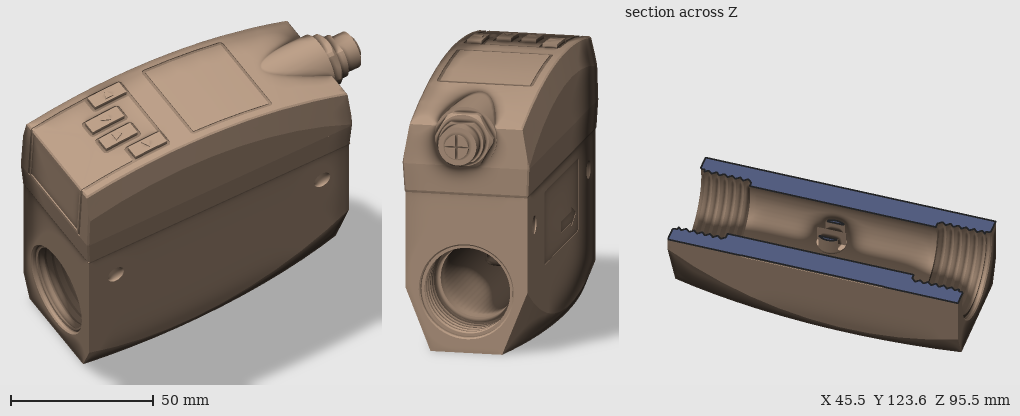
import cadquery as cq
import math


BLOCK_WIDTH = 43.8
BLOCK_LENGTH = 106.8
BLOCK_BOTTOM = -22.0
BLOCK_TOP = 34.8

BORE_DIA = 27.2
THREAD_MAJOR_DIA = 33.2
THREAD_MINOR_DIA = 30.8
THREAD_PITCH = 2.9
THREAD_RELIEF = 1.2
THREAD_TURNS = 6
PORT_MOUTH_DIA = 34.2

MOUNT_HOLE_DIA = 6.6
MOUNT_HOLE_SPACING = 84.7
MOUNT_HOLE_Z = 22.7

HEAD_WIDTH = 45.5
HEAD_LENGTH = 108.9
PARTING_Z = 45.4
FRAME_EDGE_Z = 35.7
FRAME_SIDE_TAPER = 0.5
FRAME_END_TAPER = 0.7
COVER_SIDE_DRAFT = 1.2
COVER_END_DRAFT = 2.9
COVER_EDGE_CHAMFER = 0.5
HEAD_CORNER_CHAMFER = 0.6
COVER_BLANK_TOP = 74.0

TOP_ARC = (-14.2, -122.05, 194.2)
SHOULDER_ARC = (-14.6, -102.3, 165.0)
BELLY_ARC = (-13.2, 104.1, 123.1)
SHOULDER_HALF_WIDTH = 22.4
TOP_HALF_WIDTH = 20.2
BELLY_CUT_SLOPE = 0.4

GROOVE_WIDTH = 1.2
GROOVE_DEPTH = 0.4
PANEL_WIDTH = 34.7
DISPLAY_Y = (-8.3, 25.1)
KEYPAD_BACK_Y = -16.7
WINDOW_WIDTH = 30.9
WINDOW_Z = (46.7, 67.5)
RING_RADIUS = 1.4

BUTTON_WIDTH = 5.2
BUTTON_LENGTH = 12.9
BUTTON_HEIGHT = 1.05
SYMBOL_HEIGHT = 0.46
SYMBOL_SIZE = 3.3
INNER_BUTTON = (4.5, -30.8)
OUTER_BUTTON = (PANEL_WIDTH / 2 - GROOVE_WIDTH - BUTTON_WIDTH / 2, -24.3)

CONNECTOR_Z = 55.65
BOSS_DIA = 22.4
BOSS_END_Y = HEAD_LENGTH / 2
NUT_LENGTH = 4.0
NUT_ACROSS_FLATS = 18.8
NUT_CORNER_DIA = 20.9
NUT_CHAMFER = 1.2
COLLAR_DIA = 16.0
COLLAR_FLATS = 13.6
COLLAR_LENGTH = 3.3
PLUG_DIA = 13.7
PLUG_LENGTH = 5.8
INSERT_DIA = 8.5
INSERT_SLOT = 0.8
OVERALL_LENGTH = 123.62
CONNECTOR_TIP_Y = OVERALL_LENGTH - HEAD_LENGTH / 2

PROBE_DIA = 10.6
PROBE_BOTTOM = -2.3
PROBE_FILLET = 1.8
EYE_WIDTH = 7.9
EYE_Z = (-0.5, 5.7)
EYE_RADIUS = 1.2
BLADE_THICKNESS = 0.4

LABEL_Y = (-26.4, 26.4)
LABEL_Z = (4.5, 30.8)
LABEL_RADIUS = 1.0
LABEL_DEPTH = 0.15
ARROW_TAIL_Y = 0.2
ARROW_NECK_Y = -16.1
ARROW_TIP_Y = -23.4
ARROW_Z = 11.8
ARROW_SHAFT_HALF = 2.1
ARROW_HEAD_HALF = 3.7

REACH = 70.0
FAR = 200.0


def box_between(x, y, z):
    """Box spanning the given (low, high) pairs."""
    sizes = [high - low for low, high in (x, y, z)]
    return cq.Workplane().box(*sizes, centered=False).translate((x[0], y[0], z[0]))


def arc_z(arc, y, side=1):
    """Height of an arc at y; side is +1 for its upper half and -1 for its lower half."""
    centre_y, centre_z, radius = arc
    return centre_z + side * math.sqrt(radius**2 - (y - centre_y) ** 2)


def arc_points(arc, side=1):
    """Start, middle and end of an arc over the tool length."""
    return [(y, arc_z(arc, y, side)) for y in (-REACH, arc[0], REACH)]


def arc_region(points, closing_z, x):
    """Wire at the given X between a three-point arc and a straight line at closing_z."""
    start, middle, end = points
    outline = (
        cq.Workplane("YZ", origin=(x, 0, 0))
        .moveTo(*start)
        .threePointArc(middle, end)
        .lineTo(end[0], closing_z)
        .lineTo(start[0], closing_z)
        .close()
    )
    return outline.val()


def both_sides(solid):
    """A solid on the -X side together with its mirror image."""
    return cq.Workplane(solid).add(cq.Workplane(solid).mirror("YZ"))


def belly_cutter():
    """Slanted cut below the belly arc on the -X face, leaning inwards towards the bottom."""
    outline = arc_region(arc_points(BELLY_ARC, -1), BLOCK_BOTTOM - REACH, -BLOCK_WIDTH / 2)
    drop = BLOCK_WIDTH
    lean = cq.Vector(BELLY_CUT_SLOPE * drop, 0, -drop)
    return cq.Solid.extrudeLinear(cq.Face.makeFromWires(outline), lean)


def port_cutter():
    """Threaded port at the -Y end: bevelled mouth, plain relief, one V ring per thread turn."""
    face_y = -BLOCK_LENGTH / 2
    minor = THREAD_MINOR_DIA / 2
    major = THREAD_MAJOR_DIA / 2
    mouth = PORT_MOUTH_DIA / 2
    relief_y = face_y + mouth - major
    y = relief_y + THREAD_RELIEF
    outline = (
        cq.Workplane("XY")
        .moveTo(0, face_y)
        .lineTo(mouth, face_y)
        .lineTo(major, relief_y)
        .lineTo(major, y)
        .lineTo(minor, y)
    )
    for _ in range(THREAD_TURNS):
        outline = outline.lineTo(major, y + THREAD_PITCH / 2).lineTo(minor, y + THREAD_PITCH)
        y += THREAD_PITCH
    outline = outline.lineTo(0, y).close()
    return outline.revolve(360, (0, 0, 0), (0, 1, 0))


def label_recess():
    """Shallow label field with a flow arrow sunk below it, on the -X face."""
    plane = cq.Workplane("YZ", origin=(-BLOCK_WIDTH / 2, 0, 0))
    field = (
        plane.center(sum(LABEL_Y) / 2, sum(LABEL_Z) / 2)
        .rect(LABEL_Y[1] - LABEL_Y[0], LABEL_Z[1] - LABEL_Z[0])
        .extrude(LABEL_DEPTH)
        .edges("|X")
        .fillet(LABEL_RADIUS)
    )
    upper_half = [
        (ARROW_TAIL_Y, ARROW_Z + ARROW_SHAFT_HALF),
        (ARROW_NECK_Y, ARROW_Z + ARROW_SHAFT_HALF),
        (ARROW_NECK_Y, ARROW_Z + ARROW_HEAD_HALF),
    ]
    lower_half = [(y, 2 * ARROW_Z - z) for y, z in reversed(upper_half)]
    arrow = plane.polyline(upper_half + [(ARROW_TIP_Y, ARROW_Z)] + lower_half).close()
    return field.union(arrow.extrude(2 * LABEL_DEPTH))


def make_block():
    block = box_between(
        (-BLOCK_WIDTH / 2, BLOCK_WIDTH / 2),
        (-BLOCK_LENGTH / 2, BLOCK_LENGTH / 2),
        (BLOCK_BOTTOM, BLOCK_TOP),
    )
    for cutter in both_sides(belly_cutter()).vals():
        block = block.cut(cq.Workplane(cutter))
    block = block.cut(cq.Workplane("XZ").circle(BORE_DIA / 2).extrude(FAR / 2, both=True))
    port = port_cutter()
    block = block.cut(port).cut(port.mirror("XZ"))
    mount_holes = (
        cq.Workplane("YZ")
        .pushPoints([(side * MOUNT_HOLE_SPACING / 2, MOUNT_HOLE_Z) for side in (-1, 1)])
        .circle(MOUNT_HOLE_DIA / 2)
        .extrude(FAR / 2, both=True)
    )
    probe_hole = cq.Workplane("XY").circle(PROBE_DIA / 2).extrude(FAR)
    return block.cut(mount_holes).cut(probe_hole).cut(label_recess())


def make_probe():
    """Round stem hanging into the bore, with an eye split by a thin upright blade."""
    probe = (
        cq.Workplane("XY", origin=(0, 0, PROBE_BOTTOM))
        .circle(PROBE_DIA / 2)
        .extrude(BLOCK_TOP - PROBE_BOTTOM)
        .faces("<Z")
        .edges()
        .fillet(PROBE_FILLET)
    )
    half_eye = EYE_WIDTH / 2
    half_length = PROBE_DIA
    eye = box_between((-half_eye, half_eye), (-half_length, half_length), EYE_Z)
    eye = eye.edges("|Y").fillet(EYE_RADIUS)
    half_blade = BLADE_THICKNESS / 2
    blade = box_between((-half_blade, half_blade), (-half_length, half_length), EYE_Z)
    return probe.cut(eye.cut(blade))


def make_frame():
    """Band between block and cover, narrowing downwards, with a bevelled lower edge."""
    edge_width = HEAD_WIDTH - 2 * FRAME_SIDE_TAPER
    edge_length = HEAD_LENGTH - 2 * FRAME_END_TAPER
    band = (
        cq.Workplane("XY", origin=(0, 0, FRAME_EDGE_Z))
        .rect(edge_width, edge_length)
        .workplane(offset=PARTING_Z - FRAME_EDGE_Z)
        .rect(HEAD_WIDTH, HEAD_LENGTH)
        .loft(ruled=True)
        .edges("not(|X or |Y)")
        .chamfer(HEAD_CORNER_CHAMFER)
    )
    bevel = (
        cq.Workplane("XY", origin=(0, 0, BLOCK_TOP))
        .rect(BLOCK_WIDTH, BLOCK_LENGTH)
        .workplane(offset=FRAME_EDGE_Z - BLOCK_TOP)
        .rect(edge_width, edge_length)
        .loft(ruled=True)
    )
    return band.union(bevel)


def shoulder_cutter():
    """Ruled cut on the -X side, from the shoulder arc on the flank up to the top arc."""
    side_x = SHOULDER_HALF_WIDTH
    shoulder = arc_points(SHOULDER_ARC)
    top = arc_points(TOP_ARC)
    sections = []
    for step in (-0.4, 2.0):
        x = side_x + step * (TOP_HALF_WIDTH - side_x)
        points = [
            (low[0], low[1] + step * (high[1] - low[1]))
            for low, high in zip(shoulder, top)
        ]
        sections.append(arc_region(points, COVER_BLANK_TOP + REACH, -x))
    return cq.Solid.makeLoft(sections, True)


def top_layer(low, high):
    """Sheet that follows the top arc, between two heights relative to it."""
    lower = [(y, z + low) for y, z in arc_points(TOP_ARC)]
    upper = [(y, z + high) for y, z in arc_points(TOP_ARC)]
    outline = (
        cq.Workplane("YZ")
        .moveTo(*lower[0])
        .threePointArc(*lower[1:])
        .lineTo(*upper[2])
        .threePointArc(upper[1], upper[0])
        .close()
    )
    return outline.extrude(HEAD_WIDTH, both=True)


def plate(x, y, radius=0.0):
    """Tall upright prism over a rectangle given by (low, high) pairs."""
    prism = box_between(x, y, (PARTING_Z, FAR))
    return prism.edges("|Z").fillet(radius) if radius else prism


def front_y(z):
    """Y of the drafted front face at height z."""
    return -HEAD_LENGTH / 2 + (z - PARTING_Z) * math.tan(math.radians(COVER_END_DRAFT))


def front_recess(x, z, depth):
    """Cut of even depth into the drafted front face."""
    low, high = z
    outline = [
        (front_y(low) - REACH, low),
        (front_y(low) + depth, low),
        (front_y(high) + depth, high),
        (front_y(high) - REACH, high),
    ]
    return cq.Workplane("YZ", origin=(x[0], 0, 0)).polyline(outline).close().extrude(x[1] - x[0])


def ring(x, y):
    """Groove outline one groove width wide inside a rounded rectangle."""
    hole_x = (x[0] + GROOVE_WIDTH, x[1] - GROOVE_WIDTH)
    hole_y = (y[0] + GROOVE_WIDTH, y[1] - GROOVE_WIDTH)
    return plate(x, y, RING_RADIUS).cut(plate(hole_x, hole_y))


def button_spots():
    """Centre and symbol direction (degrees from +X) of each button."""
    return [
        (-OUTER_BUTTON[0], OUTER_BUTTON[1], 180),
        (-INNER_BUTTON[0], INNER_BUTTON[1], 270),
        (INNER_BUTTON[0], INNER_BUTTON[1], 90),
        (OUTER_BUTTON[0], OUTER_BUTTON[1], 0),
    ]


def button_span(x, y, margin=0.0):
    """X and Y (low, high) pairs of a button, grown by a margin."""
    half_width = BUTTON_WIDTH / 2 + margin
    half_length = BUTTON_LENGTH / 2 + margin
    return (x - half_width, x + half_width), (y - half_length, y + half_length)


def make_button(x, y, direction):
    """Raised key with a triangle standing on it."""
    key = plate(*button_span(x, y)).intersect(top_layer(-GROOVE_DEPTH, BUTTON_HEIGHT))
    triangle = (
        cq.Workplane("XY", origin=(x, y, PARTING_Z))
        .transformed(rotate=(0, 0, direction))
        .polyline([
            (SYMBOL_SIZE / 2, 0),
            (-SYMBOL_SIZE / 2, SYMBOL_SIZE / 2),
            (-SYMBOL_SIZE / 2, -SYMBOL_SIZE / 2),
        ])
        .close()
        .extrude(FAR)
    )
    return key.union(triangle.intersect(top_layer(0, BUTTON_HEIGHT + SYMBOL_HEIGHT)))


def cover_shell():
    """Drafted blank trimmed by the top arc and by the two shoulders, with a broken upper edge."""
    rise = COVER_BLANK_TOP - PARTING_Z
    side_shift = rise * math.tan(math.radians(COVER_SIDE_DRAFT))
    end_shift = rise * math.tan(math.radians(COVER_END_DRAFT))
    shell = (
        cq.Workplane("XY", origin=(0, 0, PARTING_Z))
        .rect(HEAD_WIDTH, HEAD_LENGTH)
        .workplane(offset=rise)
        .rect(HEAD_WIDTH - 2 * side_shift, HEAD_LENGTH - 2 * end_shift)
        .loft(ruled=True)
        .edges("not(|X or |Y)")
        .chamfer(HEAD_CORNER_CHAMFER)
    )
    shell = shell.intersect(top_layer(-REACH, 0))
    for cutter in both_sides(shoulder_cutter()).vals():
        shell = shell.cut(cq.Workplane(cutter))
    above_top = cq.selectors.NearestToPointSelector((0, TOP_ARC[0], COVER_BLANK_TOP))
    return shell.faces(above_top).chamfer(COVER_EDGE_CHAMFER)


def connector_boss():
    """Round boss at the back, running forward until it sinks into the top."""
    boss = cq.Workplane("XZ", origin=(0, BOSS_END_Y, CONNECTOR_Z)).circle(BOSS_DIA / 2)
    boss = boss.extrude(BOSS_END_Y)
    return boss.intersect(plate((-BOSS_DIA, BOSS_DIA), (0, BOSS_END_Y)))


def make_cover():
    cover = cover_shell().union(connector_boss())
    half_panel = PANEL_WIDTH / 2
    panel_x = (-half_panel, half_panel)
    groove_sheet = top_layer(-GROOVE_DEPTH, COVER_BLANK_TOP - PARTING_Z)

    keypad_y = (-REACH, KEYPAD_BACK_Y)
    grooves = ring(panel_x, DISPLAY_Y).union(ring(panel_x, keypad_y))
    for x, y, _ in button_spots():
        span = button_span(x, y, GROOVE_WIDTH)
        grooves = grooves.union(plate(*span, RING_RADIUS))
    cover = cover.cut(grooves.intersect(groove_sheet))

    front_z = (PARTING_Z, COVER_BLANK_TOP)
    for edge in (-half_panel, half_panel - GROOVE_WIDTH):
        cover = cover.cut(front_recess((edge, edge + GROOVE_WIDTH), front_z, GROOVE_DEPTH))
    window_x = (-WINDOW_WIDTH / 2, WINDOW_WIDTH / 2)
    cover = cover.cut(front_recess(window_x, WINDOW_Z, GROOVE_DEPTH))

    for x, y, direction in button_spots():
        cover = cover.union(make_button(x, y, direction))
    return cover


def rod(dia, start_y, length):
    """Cylinder on the connector axis, growing towards +Y."""
    plane = cq.Workplane("XZ", origin=(0, start_y, CONNECTOR_Z))
    return plane.circle(dia / 2).extrude(-length)


def make_nut():
    """Hexagon nut with flats above and below and turned-down corners."""
    hexagon = (
        cq.Workplane("XZ", origin=(0, BOSS_END_Y, CONNECTOR_Z))
        .polygon(6, NUT_ACROSS_FLATS / math.cos(math.pi / 6))
        .extrude(-NUT_LENGTH)
    )
    turned = rod(NUT_CORNER_DIA, BOSS_END_Y, NUT_LENGTH).faces(">Y").chamfer(NUT_CHAMFER)
    return hexagon.intersect(turned).cut(rod(PLUG_DIA, BOSS_END_Y, NUT_LENGTH))


def make_connector():
    """Shank through the nut, collar with two flats, plug and cross-slotted insert."""
    collar_y = BOSS_END_Y + NUT_LENGTH
    plug_y = collar_y + COLLAR_LENGTH
    insert_y = plug_y + PLUG_LENGTH
    insert_length = CONNECTOR_TIP_Y - insert_y
    half_flats = COLLAR_FLATS / 2
    half_slot = INSERT_SLOT / 2

    flats = box_between(
        (-COLLAR_DIA, COLLAR_DIA),
        (collar_y, plug_y),
        (CONNECTOR_Z - half_flats, CONNECTOR_Z + half_flats),
    )
    collar = rod(COLLAR_DIA, collar_y, COLLAR_LENGTH).intersect(flats)
    insert = rod(INSERT_DIA, insert_y, insert_length)
    slot = box_between(
        (-half_slot, half_slot),
        (insert_y, CONNECTOR_TIP_Y),
        (CONNECTOR_Z - INSERT_DIA, CONNECTOR_Z + INSERT_DIA),
    )
    axis_start = (0, 0, CONNECTOR_Z)
    axis_end = (0, 1, CONNECTOR_Z)
    insert = insert.cut(slot).cut(slot.rotate(axis_start, axis_end, 90))
    shank = rod(PLUG_DIA, BOSS_END_Y, insert_y - BOSS_END_Y)
    return shank.union(collar).union(insert)


block = make_block()
probe = make_probe()
frame = make_frame()
cover = make_cover()
nut = make_nut()
connector = make_connector()

result = cq.Compound.makeCompound(
    [block.val(), probe.val(), frame.val(), cover.val(), nut.val(), connector.val()]
)